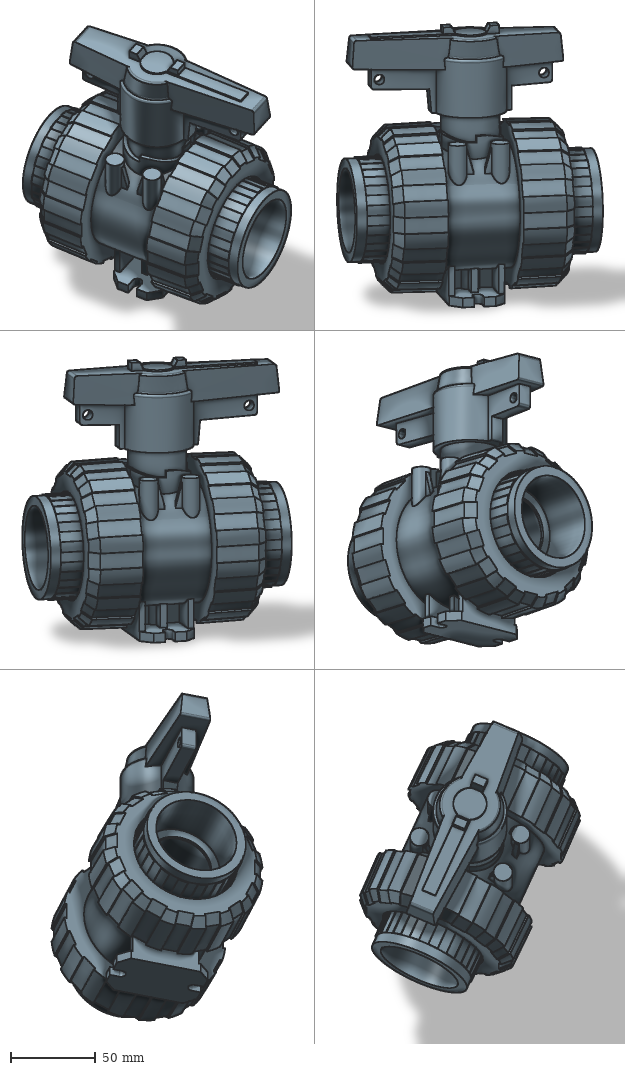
import cadquery as cq
import math


overall_length = 149.0
bore_radius = 19.8
housing_radius = 38.2
end_count = 2

nut_inner_x = 22.8
nut_face_x = 54.7
nut_chamfer_length = 5.6
nut_chamfer_depth = 5.5
nut_half_width = 50.3
nut_taper = 0.5
nut_slot_count = 16
nut_slot_width = 10.0
nut_slot_depth = 1.7
nut_lip_thickness = 6.0
nut_lip_clearance = 1.0

flange_thickness = 7.5
rib_end_x = 68.3
rib_radius = 31.6
tube_radius = 31.0
tube_groove_count = 16
tube_groove_width = 6.1
socket_radius = 25.1
socket_depth = 31.5

stem_radius = 17.5
stem_bottom_z = 33.0
neck_radius = 20.2
neck_half_width_x = 18.7
stop_low_z = 42.3
stop_high_z = 46.3
stop_count = 4
ramp_half_length = 8.6

post_x = 12.9
post_y = 27.1
post_radius = 5.6
post_top_z = 43.7
gusset_thickness = 3.1
gusset_top_z = 40.5
gusset_toe_z = 27.0
gusset_reach = 3.8
side_gusset_x = 15.4

foot_bottom_z = -55.7
foot_thickness = 5.8
foot_half_x = 16.9
foot_half_y = 28.5
foot_corner = 6.8
foot_slot_width = 6.0
foot_slot_depth = 8.8
leg_thickness = 3.6
leg_half_y = 20.7
middle_leg_thickness = 4.1
middle_leg_half_y = 14.4
boss_radius = 6.0

hub_bottom_z = 57.9
hub_radius = 21.8
hub_edge_radius = 1.7
collar_z = 93.1
cone_bottom_z = 94.1
cone_bottom_radius = 19.7
cone_top_radius = 18.0
cone_edge_radius = 1.2
bar_top_z = 104.7
bar_end_z = 87.6
bar_middle_z = 85.8
bar_left_x = -54.9
bar_right_x = 73.3
bar_end_draft = 1.7
bar_side_draft = 2.0
bar_middle_half_x = 14.9
bar_middle_half_y = 13.2
bar_left_half_y = 10.3
bar_right_half_y = 9.6
bar_end_rounding = 1.8
bar_foot_rounding = 1.3

fin_thickness = 9.0
fin_left_x = -49.0
fin_right_x = 60.7
fin_end_z = 73.8
fin_root_z = 72.6
fin_corner_radius = 2.0
fin_foot_radius = 0.8
fin_hub_left_x = -24.5
fin_hub_right_x = 25.5
fin_hub_right_draft = 1.3
fin_hole_z = 79.7
fin_hole_radius = 3.0
fin_hole_inset = 5.0

mark_height = 1.0
disc_radius = 10.0
pointer_half_y = 4.3
lug_half_y = 4.0
lug_top_z = 109.6
lug_outer_x = 16.9
lug_top_inner_x = 11.5
lug_foot_inner_x = 9.0

half_length = overall_length / 2
lip_x = nut_face_x - nut_lip_thickness
housing_end_x = lip_x - flange_thickness
nut_outer_radius = math.hypot(nut_half_width, nut_slot_width / 2)
nut_shoulder_radius = nut_outer_radius - nut_taper
nut_shoulder_x = nut_face_x - nut_chamfer_length
nut_face_radius = nut_shoulder_radius - nut_chamfer_depth
foot_top_z = foot_bottom_z + foot_thickness


def cylinder_x(radius, start_x, end_x):
    return cq.Workplane("YZ").workplane(offset=start_x).circle(radius).extrude(end_x - start_x)


def cylinder_z(radius, bottom_z, top_z):
    return cq.Workplane("XY").workplane(offset=bottom_z).circle(radius).extrude(top_z - bottom_z)


def block(x_range, y_range, z_range):
    size = [high - low for low, high in (x_range, y_range, z_range)]
    corner = cq.Vector(x_range[0], y_range[0], z_range[0])
    return cq.Workplane("XY").box(*size, centered=False).translate(corner)


def plate_xz(points, thickness, center_y=0):
    """Plate with an XZ outline, centred on a Y position."""
    plate = cq.Workplane("XZ").polyline(points).close().extrude(thickness / 2, both=True)
    return plate.translate((0, center_y, 0))


def cut_around_x(body, cutter, count):
    """Cut one cutter repeatedly, evenly spaced around the X axis."""
    for index in range(count):
        body = body.cut(cutter.rotate((0, 0, 0), (1, 0, 0), index * 360 / count))
    return body


def ramp_cutter():
    """What is removed above one quarter of the stop ring, leaving a ramp from its high to its low level."""
    above_ramp = (
        cq.Workplane("YZ")
        .moveTo(-ramp_half_length, stop_high_z)
        .lineTo(ramp_half_length, stop_low_z)
        .lineTo(neck_radius, stop_low_z)
        .lineTo(neck_radius, stop_high_z)
        .close()
        .extrude(neck_radius)
        .rotate((0, 0, 0), (0, 0, 1), 180 / stop_count)
    )
    quarter = (0, neck_radius)
    return above_ramp.intersect(block(quarter, quarter, (stop_low_z, stop_high_z)))


def neck():
    """Round neck with flat sides, whose rim is a ring of ramped stops."""
    body = cylinder_z(neck_radius, 0, stop_high_z)
    flats = block(
        (-neck_half_width_x, neck_half_width_x), (-neck_radius, neck_radius), (0, stop_high_z)
    )
    body = body.intersect(flats)
    for index in range(stop_count):
        body = body.cut(ramp_cutter().rotate((0, 0, 0), (0, 0, 1), index * 360 / stop_count))
    return body


def post():
    """Mounting post at +X +Y with a gusset toward the YZ plane and one toward the XZ plane."""
    body = cylinder_z(post_radius, 0, post_top_z).translate((post_x, post_y, 0))

    edge_x = post_x - post_radius
    toe_x = edge_x - gusset_reach
    gusset = plate_xz(
        [(post_x, 0), (post_x, gusset_top_z), (edge_x, gusset_top_z), (toe_x, gusset_toe_z), (toe_x, 0)],
        gusset_thickness,
        post_y,
    )

    edge_y = post_y - post_radius
    toe_y = edge_y - gusset_reach
    side_gusset = (
        cq.Workplane("YZ")
        .polyline(
            [(post_y, 0), (post_y, gusset_top_z), (edge_y, gusset_top_z), (toe_y, gusset_toe_z), (toe_y, 0)]
        )
        .close()
        .extrude(gusset_thickness / 2, both=True)
        .translate((side_gusset_x, 0, 0))
    )
    return body.union(gusset).union(side_gusset)


def foot():
    """Slotted mounting plate under the housing, with its legs, wall and boss."""
    legs_z = (foot_top_z, 0)
    plate = block(
        (-foot_half_x, foot_half_x), (-foot_half_y, foot_half_y), (foot_bottom_z, foot_top_z)
    )
    plate = plate.edges("|Z").chamfer(foot_corner)
    slot_radius = foot_slot_width / 2
    slot_center_y = foot_half_y - foot_slot_depth + slot_radius
    for side in (-1, 1):
        slot = (
            cq.Workplane("XY")
            .workplane(offset=foot_bottom_z)
            .center(0, side * (slot_center_y + foot_slot_depth / 2))
            .slot2D(foot_slot_depth + foot_slot_width, foot_slot_width, 90)
            .extrude(foot_thickness)
        )
        plate = plate.cut(slot)

    wall = block((-foot_half_x, foot_half_x), (-leg_thickness / 2, leg_thickness / 2), legs_z)
    middle_leg = block(
        (-middle_leg_thickness / 2, middle_leg_thickness / 2),
        (-middle_leg_half_y, middle_leg_half_y),
        legs_z,
    )
    body = plate.union(wall).union(middle_leg).union(cylinder_z(boss_radius, *legs_z))
    for left_x in (-foot_half_x, foot_half_x - leg_thickness):
        leg = block((left_x, left_x + leg_thickness), (-leg_half_y, leg_half_y), legs_z)
        body = body.union(leg)
    return body


def make_housing():
    body = cylinder_x(housing_radius, -housing_end_x, housing_end_x)
    body = body.union(neck()).union(foot())
    right_posts = post().union(post().mirror("XZ"))
    body = body.union(right_posts).union(right_posts.mirror("YZ"))
    body = body.cut(cylinder_x(bore_radius, -housing_end_x, housing_end_x))
    return body.cut(cylinder_z(stem_radius, stem_bottom_z, stop_high_z))


def make_nut():
    """Nut of the +X end: a tapered, chamfered ring with flat-bottomed grip slots and an inner lip."""
    body = (
        cq.Workplane("XZ")
        .moveTo(nut_inner_x, 0)
        .lineTo(nut_inner_x, nut_outer_radius)
        .lineTo(nut_shoulder_x, nut_shoulder_radius)
        .lineTo(nut_face_x, nut_face_radius)
        .lineTo(nut_face_x, 0)
        .close()
        .revolve(360, (0, 0, 0), (1, 0, 0))
    )
    slot = plate_xz(
        [
            (nut_inner_x, nut_outer_radius - nut_slot_depth),
            (nut_shoulder_x, nut_shoulder_radius - nut_slot_depth),
            (nut_face_x, nut_face_radius - nut_slot_depth),
            (nut_face_x, nut_outer_radius),
            (nut_inner_x, nut_outer_radius),
        ],
        nut_slot_width,
    )
    body = cut_around_x(body, slot, nut_slot_count)
    body = body.cut(cylinder_x(housing_radius, nut_inner_x, lip_x))
    return body.cut(cylinder_x(rib_radius + nut_lip_clearance, lip_x, nut_face_x))


def make_connector():
    """Connector of the +X end: a flange held by the nut, a ribbed length and a pipe socket."""
    ribbed = cylinder_x(rib_radius, lip_x, rib_end_x)
    groove = block(
        (lip_x, rib_end_x), (-tube_groove_width / 2, tube_groove_width / 2), (tube_radius, rib_radius)
    )
    ribbed = cut_around_x(ribbed, groove, tube_groove_count)
    body = cylinder_x(housing_radius, housing_end_x, lip_x).union(ribbed)
    body = body.union(cylinder_x(tube_radius, lip_x, half_length))
    body = body.cut(cylinder_x(bore_radius, housing_end_x, half_length))
    return body.cut(cylinder_x(socket_radius, half_length - socket_depth, half_length))


def make_stem():
    return cylinder_z(stem_radius, stem_bottom_z, hub_bottom_z)


def hub():
    """Round hub with a rounded collar and a tapered cap."""
    edge_diagonal = math.cos(math.radians(45))
    collar_arc_middle = (
        hub_radius - hub_edge_radius * (1 - edge_diagonal),
        collar_z - hub_edge_radius * (1 - edge_diagonal),
    )
    cap_flat_radius = cone_top_radius - cone_edge_radius
    cap_arc_middle = (
        cone_top_radius - cone_edge_radius * (1 - edge_diagonal),
        bar_top_z - cone_edge_radius * (1 - edge_diagonal),
    )
    return (
        cq.Workplane("XZ")
        .moveTo(0, hub_bottom_z)
        .lineTo(hub_radius, hub_bottom_z)
        .lineTo(hub_radius, collar_z - hub_edge_radius)
        .threePointArc(collar_arc_middle, (hub_radius - hub_edge_radius, collar_z))
        .lineTo(cone_bottom_radius, cone_bottom_z)
        .lineTo(cone_top_radius, bar_top_z - cone_edge_radius)
        .threePointArc(cap_arc_middle, (cap_flat_radius, bar_top_z))
        .lineTo(0, bar_top_z)
        .close()
        .revolve(360, (0, 0, 0), (0, 1, 0))
    )


def bar_outline(end_inset, side_inset):
    """Plan outline of the grip bar, widest over the hub and narrower toward both ends."""
    near_edge = [
        (bar_left_x + end_inset, side_inset - bar_left_half_y),
        (-bar_middle_half_x, side_inset - bar_middle_half_y),
        (bar_middle_half_x, side_inset - bar_middle_half_y),
        (bar_right_x - end_inset, side_inset - bar_right_half_y),
    ]
    far_edge = [(x, -y) for x, y in reversed(near_edge)]
    return near_edge + far_edge


def grip_bar():
    """Drafted bar whose underside rises slightly from the hub to the ends."""
    body = (
        cq.Workplane("XY")
        .workplane(offset=bar_middle_z)
        .polyline(bar_outline(0, 0))
        .close()
        .workplane(offset=bar_top_z - bar_middle_z)
        .polyline(bar_outline(bar_end_draft, bar_side_draft))
        .close()
        .loft(ruled=True)
    )
    body = body.faces(">Z").edges("|Y").fillet(bar_end_rounding)
    for middle_x, end_x in ((-bar_middle_half_x, bar_left_x), (bar_middle_half_x, bar_right_x)):
        below = [(middle_x, bar_middle_z), (end_x, bar_end_z), (end_x, bar_middle_z)]
        body = body.cut(plate_xz(below, 2 * bar_middle_half_y))
    for side in ("<X", ">X"):
        body = body.edges(side).fillet(bar_foot_rounding)
    return body


def fin():
    """Vertical fin under the bar and beside the hub, with a hole near each end."""
    body = plate_xz(
        [
            (fin_left_x, bar_end_z),
            (fin_left_x, fin_end_z),
            (fin_hub_left_x, fin_root_z),
            (fin_hub_left_x, hub_bottom_z),
            (fin_hub_right_x - fin_hub_right_draft, hub_bottom_z),
            (fin_hub_right_x, fin_root_z),
            (fin_right_x, fin_end_z),
            (fin_right_x, bar_end_z),
        ],
        fin_thickness,
    )
    for side in ("<X", ">X"):
        body = body.faces(side).edges("<Z").fillet(fin_corner_radius)
    body = body.faces("<Z").edges("|Y").fillet(fin_foot_radius)
    for hole_x in (fin_left_x + fin_hole_inset, fin_right_x - fin_hole_inset):
        hole = cq.Workplane("XZ").center(hole_x, fin_hole_z).circle(fin_hole_radius)
        body = body.cut(hole.extrude(fin_thickness, both=True))
    return body


def top_marks():
    """Raised disc, pointer strip and two lugs on top of the bar."""
    mark_top_z = bar_top_z + mark_height
    body = cylinder_z(disc_radius, bar_top_z, mark_top_z)
    pointer = block((0, fin_right_x), (-pointer_half_y, pointer_half_y), (bar_top_z, mark_top_z))
    body = body.union(pointer)
    lug = plate_xz(
        [
            (lug_outer_x, bar_top_z),
            (lug_outer_x, lug_top_z),
            (lug_top_inner_x, lug_top_z),
            (lug_foot_inner_x, bar_top_z),
        ],
        2 * lug_half_y,
    )
    return body.union(lug).union(lug.mirror("YZ"))


def make_handle():
    return hub().union(grip_bar()).union(fin()).union(top_marks())


housing = make_housing()
stem = make_stem()
handle = make_handle()

nuts = []
connectors = []
for end in range(end_count):
    turn = end * 360 / end_count
    nuts.append(make_nut().rotate((0, 0, 0), (0, 0, 1), turn).val())
    connectors.append(make_connector().rotate((0, 0, 0), (0, 0, 1), turn).val())

result = cq.Compound.makeCompound([housing.val(), stem.val(), handle.val(), *nuts, *connectors])